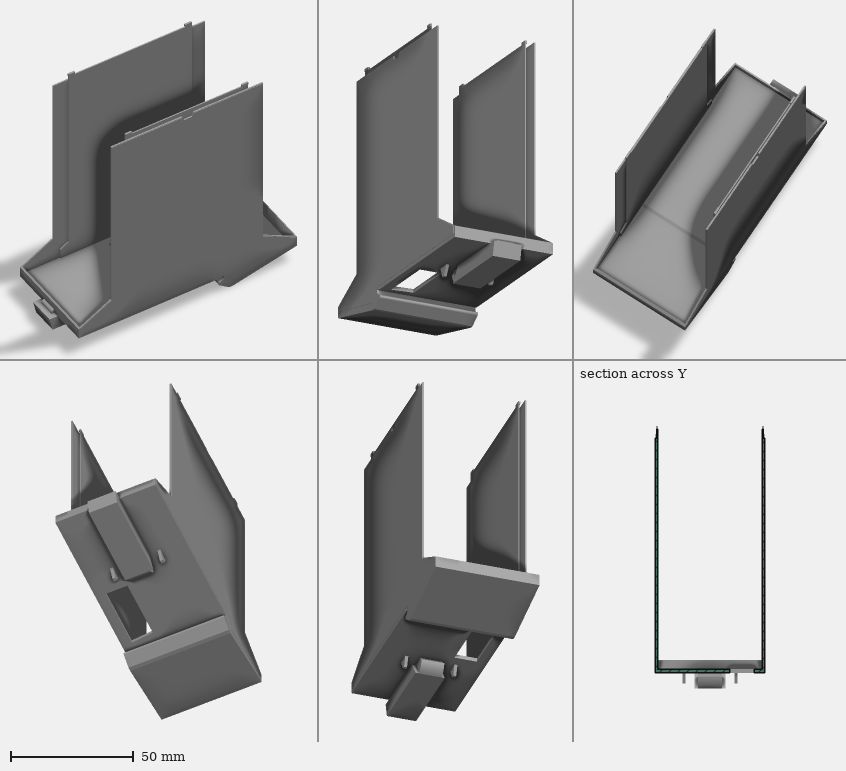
import cadquery as cq

width = 45.0
base_half = 52.7
panel_y_min = -37.0
panel_y_max = 36.3
panel_top = 97.5
shoulder_z = 13.5
end_wall_z = 4.9
wall = 0.8
side_step = 0.1
panel_chamfer = 0.3
half_width = width / 2
inner_half_width = half_width - wall
inner_half_length = base_half - wall

floor_z = 1.6
hook_floor_z = 1.3
floor_ramp_start = 17.0
floor_ramp_end = 18.4
end_bevel_length = 1.7
end_bevel_rise = 3.7

hook_bottom = -7.0
hook_heel_y = 21.6
hook_toe_y = 19.9
notch_wall_y = 17.4
notch_lip_y = 16.2
notch_top = 0.4
notch_bottom = -0.9
toe_lower = (15.5, -3.9)
toe_nose = (15.0, -3.0)
toe_upper = (15.6, -2.2)
notch_hollow = (16.6, -1.7)

panel_end_z = 2.6
panel_heel = (22.5, -3.6)
panel_bend = (18.1, 1.0)
panel_bend_end_y = 16.8

liner = 0.5
liner_top = 99.6
liner_y_min = -30.0
liner_y_max = 29.5
liner_foot_half = 33.9
liner_shoulder_z = 8.7
liner_foot_z = 6.5
tab_length = 3.2
tab_height = 1.2
tab_overhang = 0.3

side_notch_y = 0.1
side_notch_depth = 2.0
side_notch_half_top = 2.7
side_notch_half_bottom = 2.0
window_x_min = -18.0
window_x_max = -8.2
window_y_min = -12.6
window_y_max = 13.4
window_y_max_right = 12.6
rib_x = 10.6
rib_width = 1.3
rib_depth = 4.4
rib_top_y = (-23.2, -17.6)
rib_bottom_y = (-20.7, -19.2)

clip_width = 12.6
clip_depth = 6.3
clip_end_top = -56.6
clip_end_bottom = -55.1
clip_slant_top = -23.6
clip_slant_bottom = -19.1
clip_toe_width = 9.8
clip_toe_tip = (-15.6, -1.5)
clip_toe_top_y = -17.3
clip_toe_top_z = -0.5
clip_toe_curve = (-16.7, -4.3)
bump_width = 7.7
bump_height = 1.7
bump_flat_end = -53.2
bump_nose = (-54.1, 1.1)
bump_foot = -54.0


def extrude_across(sketch, length, center_x=0.0):
    """Extrude a closed (Y, Z) outline along X, centred on center_x."""
    return sketch.extrude(length / 2, both=True).translate((center_x, 0, 0))


def yz_plane():
    return cq.Workplane("YZ")


def shoulder_height(panel_edge):
    """Height of the sloping shoulder directly above the inside of an end wall."""
    slope = (shoulder_z - end_wall_z) / (base_half - abs(panel_edge))
    return end_wall_z + wall * slope


def tray_block():
    """Block with the outline of panels, shoulders, base and rail hook."""
    outline = (
        yz_plane()
        .moveTo(-base_half, 0)
        .lineTo(-base_half, end_wall_z)
        .lineTo(panel_y_min, shoulder_z)
        .lineTo(panel_y_min, panel_top)
        .lineTo(panel_y_max, panel_top)
        .lineTo(panel_y_max, shoulder_z)
        .lineTo(base_half, end_wall_z)
        .lineTo(base_half, 0)
        .lineTo(hook_heel_y, hook_bottom)
        .lineTo(hook_toe_y, hook_bottom)
        .lineTo(*toe_lower)
        .threePointArc(toe_nose, toe_upper)
        .threePointArc(notch_hollow, (notch_wall_y, notch_bottom))
        .lineTo(notch_wall_y, notch_top)
        .lineTo(notch_lip_y, notch_top)
        .lineTo(notch_lip_y, 0)
        .close()
    )
    return extrude_across(outline, width - 2 * side_step)


def panel_block():
    """Full-width block with the outline of the side panels, chamfered at its shoulders and top."""
    outline = (
        yz_plane()
        .moveTo(-inner_half_length, floor_z)
        .lineTo(-inner_half_length, shoulder_height(panel_y_min))
        .lineTo(panel_y_min, shoulder_z)
        .lineTo(panel_y_min, panel_top)
        .lineTo(panel_y_max, panel_top)
        .lineTo(panel_y_max, shoulder_z)
        .lineTo(inner_half_length, shoulder_height(panel_y_max))
        .lineTo(inner_half_length, panel_end_z)
        .lineTo(*panel_heel)
        .lineTo(*panel_bend)
        .lineTo(panel_bend_end_y, floor_z)
        .close()
    )
    block = extrude_across(outline, width)
    above_base = cq.selectors.BoxSelector(
        (-width, -base_half, end_wall_z),
        (width, base_half, panel_top + wall),
    )
    return block.faces("<X or >X").edges(above_base).chamfer(panel_chamfer)


def cavity():
    """Space between the side panels and end walls, open at the top and above the end walls."""
    outline = (
        yz_plane()
        .moveTo(-inner_half_length, floor_z)
        .lineTo(floor_ramp_start, floor_z)
        .lineTo(floor_ramp_end, hook_floor_z)
        .lineTo(inner_half_length - end_bevel_length, hook_floor_z)
        .lineTo(inner_half_length, hook_floor_z + end_bevel_rise)
        .lineTo(inner_half_length, panel_top)
        .lineTo(-inner_half_length, panel_top)
        .close()
    )
    return extrude_across(outline, 2 * inner_half_width)


def side_notches():
    """Notches cut through the top edges of both side panels."""
    bottom = panel_top - side_notch_depth
    outline = yz_plane().polyline([
        (side_notch_y - side_notch_half_top, panel_top),
        (side_notch_y - side_notch_half_bottom, bottom),
        (side_notch_y + side_notch_half_bottom, bottom),
        (side_notch_y + side_notch_half_top, panel_top),
    ]).close()
    return extrude_across(outline, width)


def window():
    """Four-sided opening through the floor."""
    outline = cq.Workplane("XY").polyline([
        (window_x_min, window_y_min),
        (window_x_max, window_y_min),
        (window_x_max, window_y_max_right),
        (window_x_min, window_y_max),
    ]).close()
    return outline.extrude(floor_z)


def liner_sheet(side):
    """Thin sheet on the inside of one side panel, with two tabs on its top edge."""
    outline = yz_plane().polyline([
        (-liner_foot_half, floor_z),
        (-liner_foot_half, liner_foot_z),
        (liner_y_min, liner_shoulder_z),
        (liner_y_min, liner_top),
        (liner_y_max, liner_top),
        (liner_y_max, liner_shoulder_z),
        (liner_foot_half, liner_foot_z),
        (liner_foot_half, hook_floor_z),
        (floor_ramp_end, hook_floor_z),
        (floor_ramp_start, floor_z),
    ]).close()
    sheet = extrude_across(outline, liner, side * (inner_half_width - liner / 2))
    tab_width = liner + tab_overhang
    tab_x = side * (inner_half_width - liner + tab_width / 2)
    for tab_y in (liner_y_min + tab_length / 2, liner_y_max - tab_length / 2):
        tab = (
            cq.Workplane("XY", origin=(tab_x, tab_y, liner_top))
            .box(tab_width, tab_length, tab_height, centered=(True, True, False))
        )
        sheet = sheet.union(tab)
    return sheet


def rib(center_x):
    """Tapered guide rib below the floor."""
    outline = yz_plane().polyline([
        (rib_top_y[1], 0),
        (rib_bottom_y[1], -rib_depth),
        (rib_bottom_y[0], -rib_depth),
        (rib_top_y[0], 0),
    ]).close()
    return extrude_across(outline, rib_width, center_x)


def make_housing():
    body = tray_block().union(panel_block())
    body = body.cut(cavity()).cut(side_notches()).cut(window())
    for side in (-1, 1):
        body = body.union(liner_sheet(side)).union(rib(side * rib_x))
    return body


def clip_block():
    """Main block of the clip, with slanted ends."""
    outline = yz_plane().polyline([
        (clip_end_top, 0),
        (clip_end_bottom, -clip_depth),
        (clip_slant_bottom, -clip_depth),
        (clip_slant_top, 0),
    ]).close()
    return extrude_across(outline, clip_width)


def clip_toe():
    """Narrower toe with a curved front that grips the rail."""
    outline = (
        yz_plane()
        .moveTo(clip_slant_top, 0)
        .lineTo(clip_toe_top_y, 0)
        .lineTo(clip_toe_top_y, clip_toe_top_z)
        .lineTo(*clip_toe_tip)
        .threePointArc(clip_toe_curve, (clip_slant_bottom, -clip_depth))
        .close()
    )
    return extrude_across(outline, clip_toe_width)


def clip_bump():
    """Round-nosed bump on top of the block, against the -Y end wall."""
    outline = (
        yz_plane()
        .moveTo(-base_half, 0)
        .lineTo(-base_half, bump_height)
        .lineTo(bump_flat_end, bump_height)
        .threePointArc(bump_nose, (bump_foot, 0))
        .close()
    )
    return extrude_across(outline, bump_width)


def make_clip():
    return clip_block().union(clip_toe()).union(clip_bump())


housing = make_housing()
clip = make_clip()
result = cq.Compound.makeCompound([housing.val(), clip.val()])